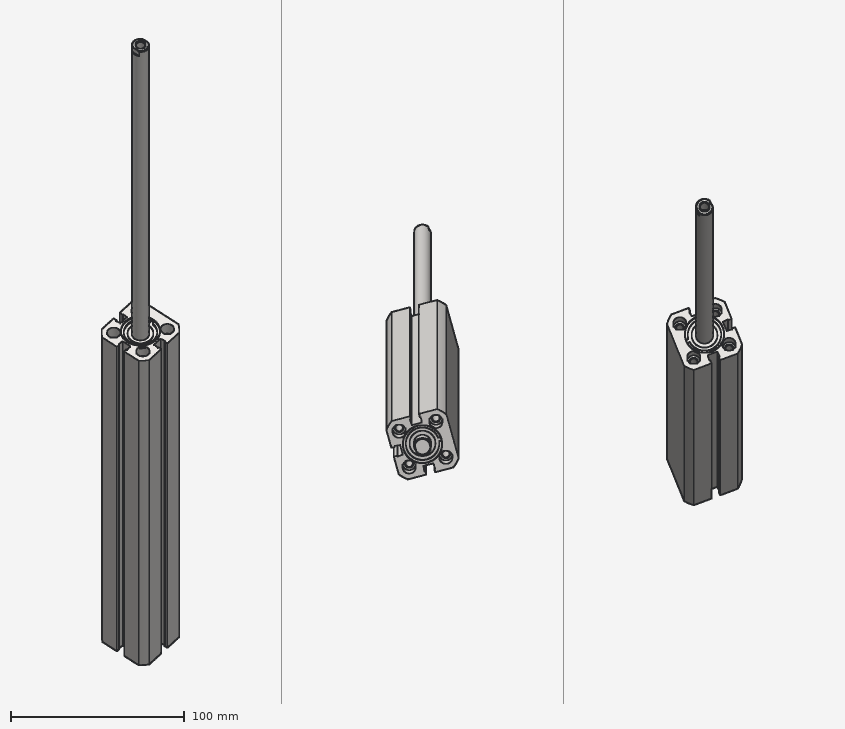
import cadquery as cq
import math

total_height = 534.0
bottom_reach = 6.0
housing_height = 272.5
housing_bottom = bottom_reach
housing_top = housing_bottom + housing_height

housing_side = 36.0
half_side = housing_side / 2
corner_turning_radius = 22.5

bore_radius = 11.0
groove_depth = 0.25
groove_radius = bore_radius + groove_depth
ring_depth = 1.0
ring_thickness = 1.0
ring_bottom = housing_top - ring_depth - ring_thickness

slot_mouth_half_width = 2.5
slot_lip_thickness = 2.0
slot_inner_half_width = 3.0
slot_floor_half_width = 2.95
slot_floor_wall = 1.35
slot_floor_distance = bore_radius + slot_floor_wall
slot_angles = (0, 180, 270)

mount_spacing = 22.0
mount_thread_radius = 2.5
mount_core_radius = 2.1
mount_lead_in = mount_thread_radius - mount_core_radius
counterbore_radius = 3.85
counterbore_depth = 8.5

cap_length = 16.0
cap_recess_radius = 7.5
cap_recess_depth = 0.5

ring_inner_radius = 9.5
ring_gap = 2.0

rod_radius = 5.0
rod_chamfer = 0.5
flat_half_spacing = 4.5
flat_length = 4.5
rod_hole_radius = 2.5
rod_hole_depth = 14.0
rod_hole_lead_in = 0.5
drill_tip_half_angle = math.radians(59)


def cylinder(radius, bottom, height):
    """Upright cylinder on the Z axis."""
    return cq.Workplane("XY").workplane(offset=bottom).circle(radius).extrude(height)


def mirrored_end(shape):
    """Copy of a part at the top of the housing, turned over to its bottom end."""
    middle = housing_bottom + housing_height / 2
    return shape.mirror("XY", (0, 0, middle))


def make_slot_cutter(angle):
    """T-shaped sensor slot, drawn on the +X side and turned about Z."""
    lip_back = half_side - slot_lip_thickness
    lower_half = [
        (slot_floor_distance, -slot_floor_half_width),
        (lip_back, -slot_inner_half_width),
        (lip_back, -slot_mouth_half_width),
        (half_side, -slot_mouth_half_width),
    ]
    upper_half = [(x, -y) for x, y in reversed(lower_half)]
    slot = cq.Workplane("XY").workplane(offset=housing_bottom).polyline(lower_half + upper_half).close()
    return slot.extrude(housing_height).rotate((0, 0, 0), (0, 0, 1), angle)


def make_mount_hole_cutter():
    """Through hole on the Z axis with a counterbore and a thread lead-in at each end."""
    seat = housing_top - counterbore_depth
    counterbore = cylinder(counterbore_radius, seat, counterbore_depth)
    lead_in_cone = cq.Solid.makeCone(
        mount_core_radius, mount_thread_radius, mount_lead_in, pnt=cq.Vector(0, 0, seat - mount_lead_in)
    )
    end = counterbore.union(cq.Workplane(lead_in_cone))
    return cylinder(mount_core_radius, housing_bottom, housing_height).union(end).union(mirrored_end(end))


def make_ring_groove():
    """Disc that fills the upper bore and its snap ring groove."""
    return cylinder(groove_radius, ring_bottom, ring_thickness)


def make_housing():
    """Extruded barrel with its bore, ring grooves, sensor slots and mounting holes."""
    housing = cq.Workplane("XY").workplane(offset=housing_bottom).rect(housing_side, housing_side)
    housing = housing.extrude(housing_height)
    housing = housing.intersect(cylinder(corner_turning_radius, housing_bottom, housing_height))
    housing = housing.cut(cylinder(bore_radius, housing_bottom, housing_height))
    groove = make_ring_groove()
    housing = housing.cut(groove).cut(mirrored_end(groove))
    for angle in slot_angles:
        housing = housing.cut(make_slot_cutter(angle))
    mount_hole = make_mount_hole_cutter()
    for x in (-mount_spacing / 2, mount_spacing / 2):
        for y in (-mount_spacing / 2, mount_spacing / 2):
            housing = housing.cut(mount_hole.translate((x, y, 0)))
    return housing


def make_bearing_cap():
    """Cap of the upper bore end that guides the rod, resting against the snap ring."""
    cap_top = ring_bottom
    cap = cylinder(bore_radius, cap_top - cap_length, cap_length)
    cap = cap.cut(cylinder(cap_recess_radius, cap_top - cap_recess_depth, cap_recess_depth))
    return cap.cut(cylinder(rod_radius, cap_top - cap_length, cap_length))


def make_snap_ring():
    """Ring in the upper groove, split on its +Y side."""
    ring = make_ring_groove()
    ring = ring.cut(cylinder(ring_inner_radius, ring_bottom, ring_thickness))
    gap = cq.Workplane("XY").box(ring_gap, groove_radius, ring_thickness, centered=(True, False, False))
    return ring.cut(gap.translate((0, 0, ring_bottom)))


def make_rod_hole_cutter():
    """Blind hole in the top of the rod with a drill tip and a lead-in chamfer."""
    hole_bottom = total_height - rod_hole_depth
    tip_length = rod_hole_radius / math.tan(drill_tip_half_angle)
    half_section = [
        (0, total_height),
        (rod_hole_radius + rod_hole_lead_in, total_height),
        (rod_hole_radius, total_height - rod_hole_lead_in),
        (rod_hole_radius, hole_bottom),
        (0, hole_bottom - tip_length),
    ]
    return cq.Workplane("XZ").polyline(half_section).close().revolve(360, (0, 0), (0, 1))


def make_rod():
    """Through rod with a pair of wrench flats at each end and a hole in its top."""
    rod = cylinder(rod_radius, 0, total_height).faces("<Z or >Z").chamfer(rod_chamfer)
    flat_cutter = cq.Workplane("XY").box(
        2 * rod_radius, rod_radius, flat_length, centered=(True, False, False)
    )
    flat_cutter = flat_cutter.translate((0, flat_half_spacing, 0))
    for bottom in (0, total_height - flat_length):
        flat = flat_cutter.translate((0, 0, bottom))
        rod = rod.cut(flat).cut(flat.mirror("XZ"))
    return rod.cut(make_rod_hole_cutter())


housing = make_housing()
rod = make_rod()
top_cap = make_bearing_cap()
bottom_cap = mirrored_end(top_cap)
top_ring = make_snap_ring()
bottom_ring = mirrored_end(top_ring)

result = cq.Compound.makeCompound([
    housing.val(),
    rod.val(),
    top_cap.val(),
    bottom_cap.val(),
    top_ring.val(),
    bottom_ring.val(),
])